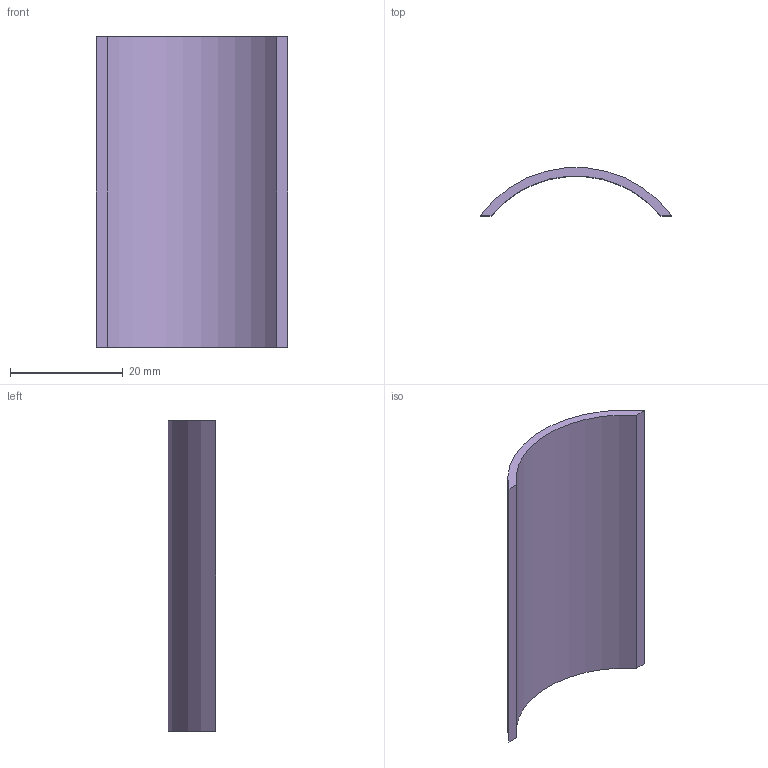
import cadquery as cq
import math

outer_chord = 33.96
outer_rise = 8.56
wall = 1.5
length = 55.0

outer_half = outer_chord / 2
outer_radius = (outer_half**2 + outer_rise**2) / (2 * outer_rise)
inner_radius = outer_radius - wall
centre_depth = outer_radius - outer_rise
inner_half = math.sqrt(inner_radius**2 - centre_depth**2)
inner_rise = outer_rise - wall


def curved_shell():
    """Arc-shaped strip with coplanar edge faces, extruded along Z."""
    return (
        cq.Workplane("XY")
        .moveTo(-outer_half, 0)
        .threePointArc((0, outer_rise), (outer_half, 0))
        .lineTo(inner_half, 0)
        .threePointArc((0, inner_rise), (-inner_half, 0))
        .close()
        .extrude(length)
    )


result = curved_shell()